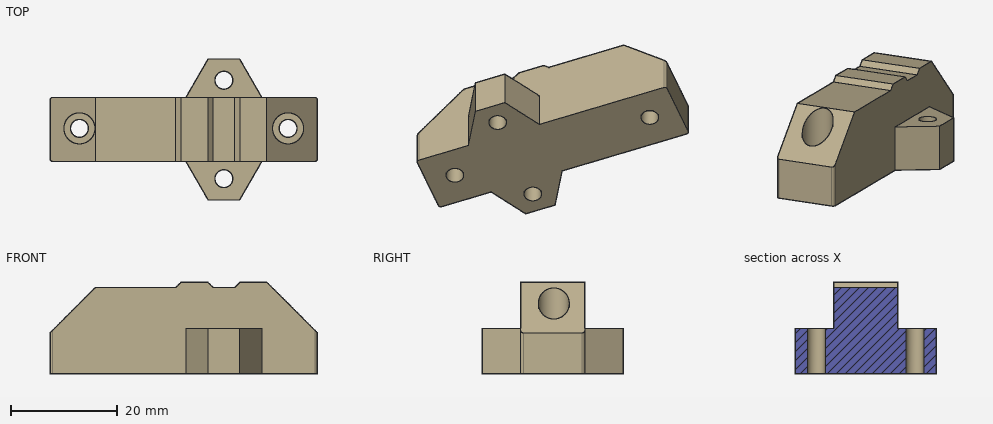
import cadquery as cq
import math

body_length = 50.0
body_width = 12.0
body_height = 17.15
end_height = 7.65
corner_radius = 0.5

tooth_height = 1.0
tooth_top_length = 5.0
tooth_gap = 6.0
deck_height = body_height - tooth_height
front_slope = deck_height - end_height
rear_slope = body_height - end_height
rear_tooth_end = body_length - rear_slope
rear_tooth_start = rear_tooth_end - tooth_top_length
first_tooth_end = rear_tooth_start - tooth_gap
first_tooth_start = first_tooth_end - tooth_top_length

lug_span = 26.4
lug_height = 8.5
lug_tip_length = 5.9
lug_angle = 60.0
lug_center_x = (first_tooth_end + rear_tooth_start) / 2

hole_diameter = 3.3
head_diameter = 5.8
head_floor_height = 4.0
end_hole_inset = 5.5
end_hole_y = 0.2
lug_hole_inset = 4.0


def make_body():
    outline = [
        (0, 0),
        (0, end_height),
        (front_slope, deck_height),
        (first_tooth_start - tooth_height, deck_height),
        (first_tooth_start, body_height),
        (first_tooth_end, body_height),
        (first_tooth_end + tooth_height, deck_height),
        (rear_tooth_start - tooth_height, deck_height),
        (rear_tooth_start, body_height),
        (rear_tooth_end, body_height),
        (body_length, end_height),
        (body_length, 0),
    ]
    bar = cq.Workplane("XZ").polyline(outline).close().extrude(body_width / 2, both=True)
    rounded_block = (
        cq.Workplane("XY")
        .center(body_length / 2, 0)
        .rect(body_length, body_width)
        .extrude(body_height)
        .edges("|Z")
        .fillet(corner_radius)
    )
    return bar.intersect(rounded_block)


def make_lugs():
    half_span = lug_span / 2
    half_tip = lug_tip_length / 2
    half_middle = half_tip + half_span / math.tan(math.radians(lug_angle))
    outline = [
        (-half_middle, 0),
        (-half_tip, half_span),
        (half_tip, half_span),
        (half_middle, 0),
        (half_tip, -half_span),
        (-half_tip, -half_span),
    ]
    return cq.Workplane("XY").center(lug_center_x, 0).polyline(outline).close().extrude(lug_height)


def vertical_cylinders(centers, diameter, floor_height):
    return (
        cq.Workplane("XY")
        .workplane(offset=floor_height)
        .pushPoints(centers)
        .circle(diameter / 2)
        .extrude(body_height - floor_height)
    )


end_hole_centers = [(x, end_hole_y) for x in (end_hole_inset, body_length - end_hole_inset)]
lug_hole_y = lug_span / 2 - lug_hole_inset
lug_hole_centers = [(lug_center_x, side * lug_hole_y) for side in (-1, 1)]

result = make_body().union(make_lugs())
result = result.cut(vertical_cylinders(end_hole_centers + lug_hole_centers, hole_diameter, 0))
result = result.cut(vertical_cylinders(end_hole_centers, head_diameter, head_floor_height))